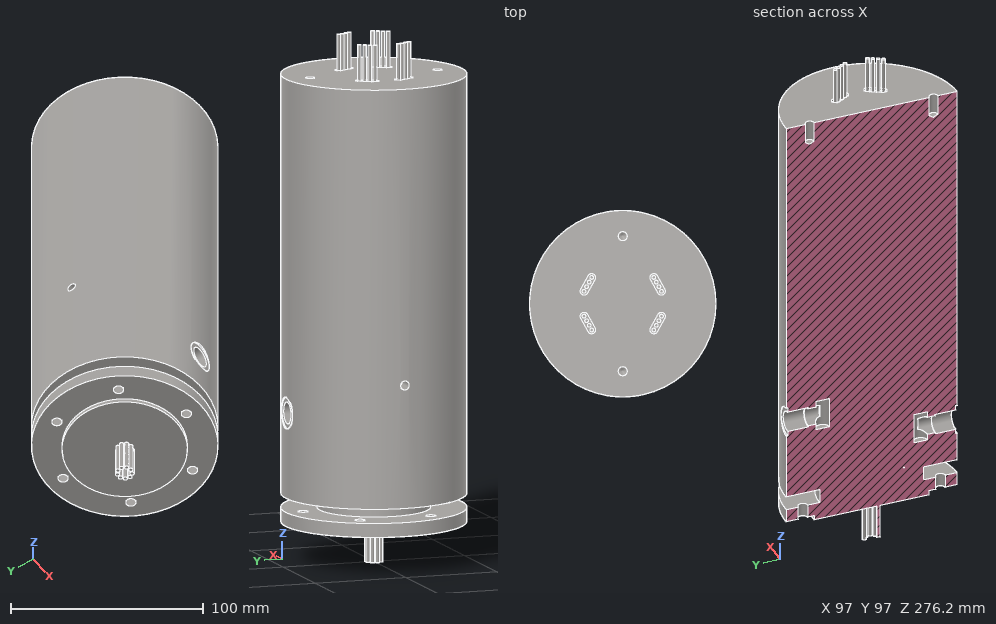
import cadquery as cq
import math

total_height = 276.2
lead_length = 18.8
boss_height = 2.5
flange_height = 7.5
neck_height = 7.5
pin_height = 18.8

flange_bottom = lead_length + boss_height
flange_top = flange_bottom + flange_height
body_bottom = flange_top + neck_height
body_top = total_height - pin_height

body_diameter = 97.0
neck_diameter = 59.0
boss_diameter = 65.2

lead_count = 9
lead_diameter = 2.2
lead_circle_radius = 4.0
first_lead_angle = -90

pin_circle_radius = 20.7
pin_group_angles = (29, 151, 209, 331)
pins_per_group = 4
pin_diameter = 2.0
pin_pitch = 2.8
slot_width = 4.1
slot_length = 12.2
slot_depth = 1.5
tangential = 90

screw_hole_diameter = 4.7
screw_hole_depth = 11.0
drill_point_angle = 118
top_screw_offset = 35.0
side_screw_height = body_bottom + 65.0

front_port_height = body_bottom + 24.3
rear_port_height = body_bottom + 45.0
spotface_diameter = 16.5
spotface_depth = 0.8
thread_diameter = 11.3
thread_depth = 12.5
tap_drill_diameter = 10.0
port_depth = 20.7
passage_diameter = 7.5
passage_height = 16.5

flange_hole_count = 6
flange_hole_diameter = 5.2
flange_hole_circle_radius = 39.0
first_flange_hole_angle = 30


def disc(diameter, bottom, top):
    """Upright cylinder on the main axis between two levels."""
    return cq.Workplane("XY").workplane(offset=bottom).circle(diameter / 2).extrude(top - bottom)


def cylinder(diameter, length, start, direction):
    """Cylinder of any direction, starting at a point."""
    solid = cq.Solid.makeCylinder(diameter / 2, length, cq.Vector(*start), cq.Vector(*direction))
    return cq.Workplane(solid)


def drilled_hole(start, direction):
    """Blind screw hole: a cylinder that ends in a drill-point cone."""
    radius = screw_hole_diameter / 2
    point_length = radius / math.tan(math.radians(drill_point_angle / 2))
    axis = cq.Vector(*direction)
    point_start = cq.Vector(*start) + axis * screw_hole_depth
    point = cq.Solid.makeCone(radius, 0, point_length, point_start, axis)
    return cylinder(screw_hole_diameter, screw_hole_depth, start, direction).union(cq.Workplane(point))


def port(height, side):
    """Stepped port in the side wall; side is -1 for the -Y wall and +1 for the +Y wall."""
    start = (0, side * body_diameter / 2, height)
    inward = (0, -side, 0)
    bore = cylinder(spotface_diameter, spotface_depth, start, inward)
    bore = bore.union(cylinder(thread_diameter, thread_depth, start, inward))
    bore = bore.union(cylinder(tap_drill_diameter, port_depth, start, inward))
    passage_start = (0, side * (body_diameter / 2 - port_depth), height - passage_height / 2)
    return bore.union(cylinder(passage_diameter, passage_height, passage_start, (0, 0, 1)))


def pin_group_plane(angle, level):
    """Work plane centred on a pin group, with local X pointing away from the main axis."""
    turn = math.radians(angle)
    centre = (pin_circle_radius * math.cos(turn), pin_circle_radius * math.sin(turn), level)
    return cq.Workplane(cq.Plane(centre, xDir=(math.cos(turn), math.sin(turn), 0), normal=(0, 0, 1)))


result = disc(body_diameter, body_bottom, body_top)
result = result.union(disc(neck_diameter, flange_top, body_bottom))
result = result.union(disc(body_diameter, flange_bottom, flange_top))
result = result.union(disc(boss_diameter, lead_length, flange_bottom))

flange_holes = (
    cq.Workplane("XY")
    .workplane(offset=flange_bottom)
    .polarArray(flange_hole_circle_radius, first_flange_hole_angle, 360, flange_hole_count)
    .circle(flange_hole_diameter / 2)
    .extrude(flange_height)
)
result = result.cut(flange_holes)

for side in (-1, 1):
    result = result.cut(drilled_hole((0, side * top_screw_offset, body_top), (0, 0, -1)))
result = result.cut(drilled_hole((-body_diameter / 2, 0, side_screw_height), (1, 0, 0)))

result = result.cut(port(front_port_height, -1))
result = result.cut(port(rear_port_height, 1))

for angle in pin_group_angles:
    slot_floor = pin_group_plane(angle, body_top - slot_depth)
    slot = slot_floor.slot2D(slot_length, slot_width, tangential).extrude(slot_depth)
    pins = (
        slot_floor.rarray(2.8, pin_pitch, 1, pins_per_group)
        .circle(pin_diameter / 2)
        .extrude(slot_depth + pin_height)
    )
    result = result.cut(slot).union(pins)

leads = (
    cq.Workplane("XY")
    .polarArray(lead_circle_radius, first_lead_angle, 360, lead_count)
    .circle(lead_diameter / 2)
    .extrude(lead_length)
)
result = result.union(leads)